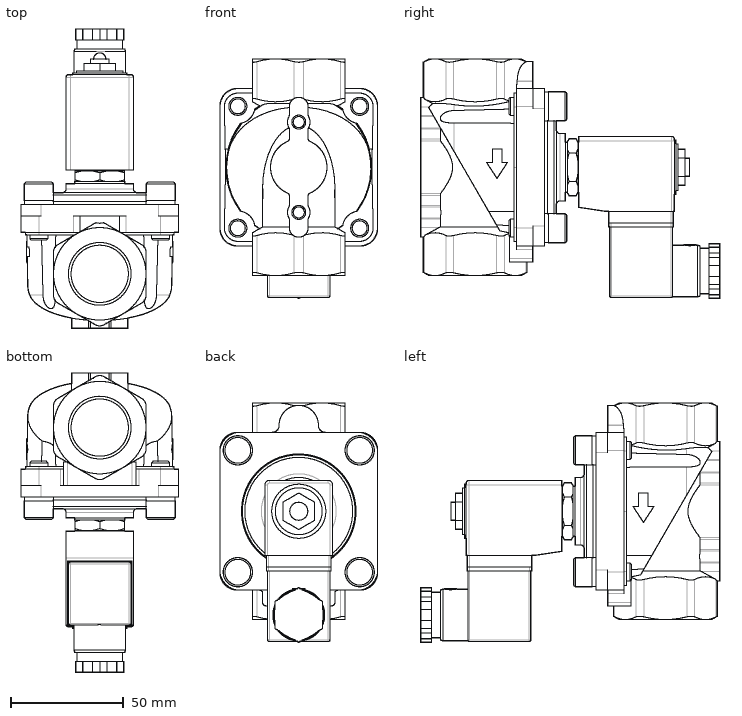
import cadquery as cq
import math

TAN30 = math.tan(math.radians(30))

port_end = 48.0
port_flats = 41.0
port_corner_radius = 4.0
port_inner_radius = 16.0
port_inner_z = 26.4
bore_radius = 12.7
bore_depth = 16.0
bore_chamfer = 1.2

rim_y = 17.3
bowl_rim_radius = 32.35
bowl_side_end_y = -9.3
bowl_side_end_radius = 31.9
bowl_round = 15.0
cut_y = -5.3
cut_angle = 30.0
scallop_radius = 7.6

foot_y = -24.2
foot_root_y = -2.0
foot_boss_radius = 12.5
rib_width = 8.4
rib_half_length = 31.0
eye_radius = 5.0
foot_fillet = 1.0
selection_margin = 0.1
eye_z = 20.0
foot_hole_diameter = 4.92
foot_hole_mouth = 6.2
foot_hole_depth = 8.0
drill_point_angle = 118.0

arrow_y = 9.7
arrow_top_z = 8.0
arrow_neck_z = 2.0
arrow_tip_z = -4.9
arrow_shaft_width = 4.2
arrow_head_width = 9.1
arrow_reach = 32.5

plate_size = 70.0
flange_y = 18.4
flange_corner = 8.0
cover_y = 25.6
cover_corner = 9.0
cover_top_y = 30.8
rim_half_width = 33.1
rim_waist_half_width = 32.4
rim_half_height = 32.85
rim_corner = 6.0
screw_offset = 27.0
screw_head_diameter = 13.0
screw_head_height = 9.9
screw_seat_height = 1.8
screw_seat_diameter = 12.9
screw_head_chamfer = 0.8
screw_tip_diameter = 8.0
screw_tip_y = 14.9
screw_tip_chamfer = 0.7
upper_lug_radius = 8.7
upper_lug_z = 38.2
upper_lug_fillet = 3.0
lower_lug_half_width = 16.0
lower_lug_y = 15.2
lower_lug_z = -42.0
lower_lug_corner = 1.6
lower_lug_fillet = 1.4

disc_radius = 25.0
disc_chamfer = 1.1
disc_base_radius = 25.4
disc_base_height = 1.2
disc_top_y = 36.0
collar_radius = 15.0
collar_fillet = 1.6
collar_top_y = 40.0
seat_radius = 11.1
seat_top_y = 40.9
tube_nut_flats = 22.0
tube_nut_top_y = 45.5
tube_nut_chamfer_radius = 11.4

coil_y = 45.9
coil_end_y = 88.3
coil_width = 30.0
coil_top_z = 13.7
coil_bottom_z = -19.6
coil_bottom_front_z = -17.8
coil_slope_end_y = 57.8
socket_edge_round = 1.0
coil_edge_round = 2.0
coil_end_round = 1.2
socket_y = 59.2
socket_end_y = 87.9
socket_width = 28.6
socket_bottom_z = -24.6
washer_steps = [(12.0, 89.0), (10.4, 89.9)]
coil_nut_flats = 14.0
coil_nut_end_y = 93.1
stud_radius = 4.0
stud_end_y = 95.1

gasket_bottom_z = -26.4
plug_y = 59.6
plug_end_y = 87.5
plug_width = 27.7
plug_bottom_z = -57.8
plug_edge = 0.8
gland_z = -45.97
gland_radius = 11.5
gland_end_y = 99.7
gland_chamfer = 1.2
gland_chamfer_drop = 0.4
gland_pad_radius = 2.7
gland_pad_y = 95.2
gland_pad_rise = 0.2
gland_neck_radius = 10.1
cap_y = 103.6
cap_end_y = 108.5
cap_flats = 21.1
grip_width = 5.0
grip_height = 0.2


def disc_along_y(radius, y_from, y_to, x=0.0, z=0.0):
    """Cylinder parallel to Y."""
    return cq.Workplane("XZ", origin=(x, y_from, z)).circle(radius).extrude(y_from - y_to)


def block(width, y_from, y_to, z_from, z_to):
    """Box centred on X = 0."""
    size = (width, y_to - y_from, z_to - z_from)
    return cq.Workplane("XY").box(*size, centered=(True, False, False)).translate((0, y_from, z_from))


def hexagon_points(flats):
    """Hexagon with flats facing +X and -X."""
    reach = flats / 2 / math.cos(math.radians(30))
    angles = [math.radians(30 + 60 * i) for i in range(6)]
    return [(reach * math.cos(a), reach * math.sin(a)) for a in angles]


def hexagon_along_y(flats, y_from, y_to):
    plane = cq.Workplane("XZ", origin=(0, y_from, 0))
    return plane.polyline(hexagon_points(flats)).close().extrude(y_from - y_to)


def turned_about_y(points):
    return cq.Workplane("XY").polyline(points).close().revolve(360, (0, 0), (0, 1))


def square_plate(y_from, y_to, corner):
    plate = cq.Workplane("XZ", origin=(0, y_from, 0)).rect(plate_size, plate_size).extrude(y_from - y_to)
    return plate.edges("|Y").fillet(corner)


def bowl():
    mid = math.sqrt(0.5) * bowl_round
    round_center_radius = bowl_side_end_radius - bowl_round
    shell = (
        cq.Workplane("XY")
        .moveTo(0, cover_y)
        .lineTo(bowl_rim_radius, cover_y)
        .lineTo(bowl_rim_radius, rim_y)
        .lineTo(bowl_side_end_radius, bowl_side_end_y)
        .threePointArc(
            (round_center_radius + mid, bowl_side_end_y - mid),
            (round_center_radius, bowl_side_end_y - bowl_round),
        )
        .lineTo(0, bowl_side_end_y - bowl_round)
        .close()
        .revolve(360, (0, 0), (0, 1))
    )
    for x in (-screw_offset, screw_offset):
        for z in (-screw_offset, screw_offset):
            shell = shell.cut(disc_along_y(scallop_radius, foot_y, rim_y, x, z))
    cutter_size = 4 * plate_size
    cutter = (
        cq.Workplane("XY")
        .box(cutter_size, cutter_size, cutter_size, centered=(True, False, True))
        .translate((0, -cutter_size, 0))
        .rotate((0, 0, 0), (1, 0, 0), cut_angle)
        .translate((0, cut_y, 0))
    )
    return shell.cut(cutter)


def flow_arrow(side):
    """Raised flow arrow on one side of the bowl, pointing down."""
    half_outline = [
        (0, arrow_top_z),
        (arrow_shaft_width / 2, arrow_top_z),
        (arrow_shaft_width / 2, arrow_neck_z),
        (arrow_head_width / 2, arrow_neck_z),
        (0, arrow_tip_z),
    ]
    return (
        cq.Workplane("YZ", origin=(0, arrow_y, 0))
        .polyline(half_outline)
        .mirrorY()
        .extrude(side * arrow_reach)
    )


def port():
    """Upper port: a rounded hexagon cut by cones at both ends."""
    outer = port_flats
    face_radius = port_flats / 2
    prism = (
        cq.Workplane("XY", origin=(0, 0, port_inner_z))
        .polyline(hexagon_points(port_flats))
        .close()
        .extrude(port_end - port_inner_z)
        .edges("|Z")
        .fillet(port_corner_radius)
    )
    cones = (
        cq.Workplane("XZ")
        .polyline([
            (0, port_inner_z),
            (port_inner_radius, port_inner_z),
            (outer, port_inner_z + (outer - port_inner_radius) * TAN30),
            (outer, port_end - (outer - face_radius) * TAN30),
            (face_radius, port_end),
            (0, port_end),
        ])
        .close()
        .revolve(360, (0, 0), (0, 1))
    )
    return prism.intersect(cones)


def port_bore():
    """Upper blind bore with a chamfered mouth."""
    bore = cq.Workplane("XY", origin=(0, 0, port_end - bore_depth)).circle(bore_radius).extrude(bore_depth)
    mouth = (
        cq.Workplane("XY", origin=(0, 0, port_end))
        .circle(bore_radius + bore_chamfer)
        .workplane(offset=-bore_chamfer)
        .circle(bore_radius)
        .loft()
    )
    return bore.union(mouth)


def foot():
    """Round boss with a rib across it and two tapped eyes."""
    depth = foot_root_y - foot_y
    rib = (
        cq.Workplane("XZ", origin=(0, foot_root_y, 0))
        .slot2D(2 * rib_half_length, rib_width, 90)
        .extrude(depth)
    )
    shape = rib.union(disc_along_y(foot_boss_radius, foot_y, foot_root_y))
    for z in (-eye_z, eye_z):
        shape = shape.union(disc_along_y(eye_radius, foot_y, foot_root_y, z=z))
    side_x = rib_width / 2
    straight_z = rib_half_length - side_x - foot_fillet
    reach_x = side_x + selection_margin
    inner_corners = cq.selectors.BoxSelector(
        (-reach_x, foot_y, -straight_z),
        (reach_x, foot_root_y, straight_z),
    )
    return shape.edges("|Y").edges(inner_corners).fillet(foot_fillet)


def foot_hole(z):
    """Drilled hole with a chamfered mouth and a drill point."""
    radius = foot_hole_diameter / 2
    mouth_radius = foot_hole_mouth / 2
    bottom_y = foot_y + foot_hole_depth
    point_y = bottom_y + radius / math.tan(math.radians(drill_point_angle / 2))
    return turned_about_y([
        (0, foot_y),
        (mouth_radius, foot_y),
        (radius, foot_y + mouth_radius - radius),
        (radius, bottom_y),
        (0, point_y),
    ]).translate((0, 0, z))


def rim():
    """Raised rim under the flange, with sides drawn slightly inwards at the middle."""
    return (
        cq.Workplane("XZ", origin=(0, flange_y, 0))
        .moveTo(-rim_half_width, -rim_half_height)
        .lineTo(rim_half_width, -rim_half_height)
        .lineTo(rim_waist_half_width, 0)
        .lineTo(rim_half_width, rim_half_height)
        .lineTo(-rim_half_width, rim_half_height)
        .lineTo(-rim_waist_half_width, 0)
        .close()
        .extrude(flange_y - rim_y)
        .edges("|Y and (>Z or <Z)")
        .fillet(rim_corner)
    )


def lug_blends(half_width, radius, side):
    """Concave fillets between a lug and the upper (side = 1) or lower (side = -1) flange edge."""
    edge_z = side * plate_size / 2
    wedge = block(2 * (half_width + radius), flange_y, cover_y, 0, radius)
    for x in (-half_width - radius, half_width + radius):
        wedge = wedge.cut(disc_along_y(radius, flange_y, cover_y, x, radius))
    if side < 0:
        wedge = wedge.mirror("XY")
    return wedge.translate((0, 0, edge_z))


def upper_lug():
    """Round lug on top of the flange."""
    lug = block(2 * upper_lug_radius, flange_y, cover_y, plate_size / 2 - flange_corner, upper_lug_z)
    lug = lug.union(disc_along_y(upper_lug_radius, flange_y, cover_y, z=upper_lug_z))
    return lug.union(lug_blends(upper_lug_radius, upper_lug_fillet, 1))


def lower_lug():
    """Square lug under the flange."""
    lug = block(2 * lower_lug_half_width, lower_lug_y, cover_y, lower_lug_z, -plate_size / 2 + flange_corner)
    lug = lug.edges("|Y and <Z").fillet(lower_lug_corner)
    return lug.union(lug_blends(lower_lug_half_width, lower_lug_fillet, -1))


def screw(x, z):
    head_radius = screw_head_diameter / 2
    seat_radius = screw_seat_diameter / 2
    tip_radius = screw_tip_diameter / 2
    seat_end_y = cover_top_y + screw_seat_height
    head_end_y = cover_top_y + screw_head_height
    return turned_about_y([
        (0, screw_tip_y),
        (tip_radius - screw_tip_chamfer, screw_tip_y),
        (tip_radius, screw_tip_y + screw_tip_chamfer),
        (tip_radius, cover_top_y),
        (seat_radius, cover_top_y),
        (seat_radius, seat_end_y),
        (head_radius, seat_end_y),
        (head_radius, head_end_y - screw_head_chamfer),
        (head_radius - screw_head_chamfer, head_end_y),
        (0, head_end_y),
    ]).translate((x, 0, z))


def cover_dome():
    """Stepped round top of the cover that carries the coil."""
    mid = collar_fillet * (1 - math.sqrt(0.5))
    return (
        cq.Workplane("XY")
        .moveTo(0, cover_y)
        .lineTo(disc_base_radius, cover_y)
        .lineTo(disc_base_radius, cover_top_y + disc_base_height)
        .lineTo(disc_radius, cover_top_y + disc_base_height)
        .lineTo(disc_radius, disc_top_y - disc_chamfer)
        .lineTo(disc_radius - disc_chamfer, disc_top_y)
        .lineTo(collar_radius + collar_fillet, disc_top_y)
        .threePointArc((collar_radius + mid, disc_top_y + mid), (collar_radius, disc_top_y + collar_fillet))
        .lineTo(collar_radius, collar_top_y)
        .lineTo(seat_radius, collar_top_y)
        .lineTo(seat_radius, seat_top_y)
        .lineTo(0, seat_top_y)
        .close()
        .revolve(360, (0, 0), (0, 1))
    )


def tube_nut():
    """Hexagon under the coil, chamfered at both ends, with a short collar to the coil."""
    outer = tube_nut_flats
    drop = (outer - tube_nut_chamfer_radius) * TAN30
    cones = turned_about_y([
        (0, seat_top_y),
        (tube_nut_chamfer_radius, seat_top_y),
        (outer, seat_top_y + drop),
        (outer, tube_nut_top_y - drop),
        (tube_nut_chamfer_radius, tube_nut_top_y),
        (0, tube_nut_top_y),
    ])
    nut = hexagon_along_y(tube_nut_flats, seat_top_y, tube_nut_top_y).intersect(cones)
    return nut.union(disc_along_y(tube_nut_flats / 2, tube_nut_top_y, coil_y))


def valve():
    pipe = cq.Workplane("XY").circle(port_inner_radius).extrude(port_inner_z, both=True)
    body = bowl().union(pipe)
    body = body.union(square_plate(flange_y, cover_y, flange_corner))
    body = body.union(square_plate(cover_y, cover_top_y, cover_corner))
    body = body.union(rim()).union(upper_lug()).union(lower_lug())
    body = body.union(foot())
    for end in (port(), port().mirror("XY")):
        body = body.union(end)
    body = body.union(cover_dome()).union(tube_nut())
    for x in (-screw_offset, screw_offset):
        for z in (-screw_offset, screw_offset):
            body = body.union(screw(x, z))
    for side in (-1, 1):
        body = body.union(flow_arrow(side))
    for bore in (port_bore(), port_bore().mirror("XY")):
        body = body.cut(bore)
    for z in (-eye_z, eye_z):
        body = body.cut(foot_hole(z))
    return body


def coil():
    housing = (
        cq.Workplane("YZ")
        .polyline([
            (coil_y, coil_top_z),
            (coil_end_y, coil_top_z),
            (coil_end_y, coil_bottom_z),
            (coil_slope_end_y, coil_bottom_z),
            (coil_y, coil_bottom_front_z),
        ])
        .close()
        .extrude(coil_width / 2, both=True)
    )
    housing = housing.edges("|Y and >Z").fillet(coil_edge_round)
    housing = housing.faces(">Y").edges("not <Z").fillet(coil_end_round)
    socket = block(socket_width, socket_y, socket_end_y, socket_bottom_z, coil_bottom_z)
    socket = socket.edges("|Z and >Y").fillet(socket_edge_round)
    body = housing.union(socket)
    start_y = coil_end_y
    for radius, end_y in washer_steps:
        body = body.union(disc_along_y(radius, start_y, end_y))
        start_y = end_y
    body = body.union(hexagon_along_y(coil_nut_flats, start_y, coil_nut_end_y))
    return body.union(disc_along_y(stud_radius, coil_nut_end_y, stud_end_y))


def gland_cap():
    """Hexagon cap with a raised grip strip on each flat."""
    cap = hexagon_along_y(cap_flats, cap_y, cap_end_y)
    grip = (
        cq.Workplane("XY")
        .box(cap_flats / 2 + grip_height, cap_end_y - cap_y, grip_width, centered=(False, False, True))
        .translate((0, cap_y, 0))
    )
    for i in range(6):
        cap = cap.union(grip.rotate((0, 0, 0), (0, 1, 0), 60 * i))
    return cap.translate((0, 0, gland_z))


def gland():
    straight_end_y = gland_end_y - gland_chamfer
    sleeve = turned_about_y([
        (0, plug_y + plug_edge),
        (gland_radius, plug_y + plug_edge),
        (gland_radius, straight_end_y),
        (gland_radius - gland_chamfer_drop, gland_end_y),
        (gland_neck_radius, gland_end_y),
        (gland_neck_radius, cap_y),
        (0, cap_y),
    ])
    pad_top_z = gland_radius + gland_pad_rise
    pad = cq.Workplane("XY", origin=(0, gland_pad_y, 0)).circle(gland_pad_radius).extrude(pad_top_z)
    return sleeve.union(pad).translate((0, 0, gland_z))


def plug():
    gasket = block(socket_width, socket_y, socket_end_y, gasket_bottom_z, socket_bottom_z)
    gasket = gasket.edges("|Z").fillet(socket_edge_round)
    housing = block(plug_width, plug_y, plug_end_y, plug_bottom_z, gasket_bottom_z)
    housing = housing.edges("|Z or <Z").fillet(plug_edge)
    return housing.union(gasket).union(gland()).union(gland_cap())


valve_body = valve().solids()
coil_body = coil().solids()
plug_body = plug().solids()

result = cq.Compound.makeCompound([valve_body.val(), coil_body.val(), plug_body.val()])